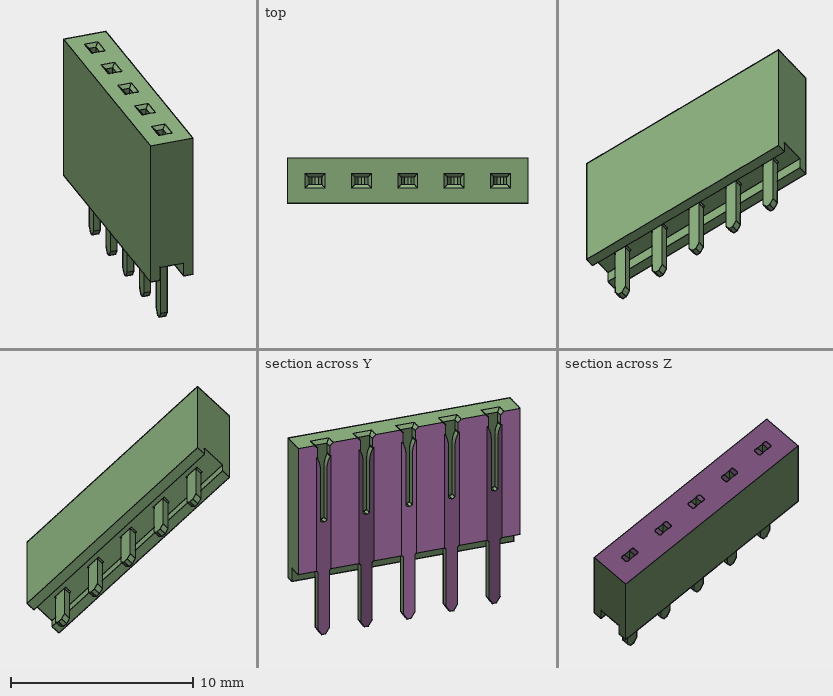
import cadquery as cq
import math

housing_length = 13.2
housing_depth = 2.5
total_height = 11.6
pin_drop = 3.1
housing_height = total_height - pin_drop
contact_count = 5
end_margin = 0.25
pitch = (housing_length - 2 * end_margin) / contact_count
contact_positions = [(i - (contact_count - 1) / 2) * pitch for i in range(contact_count)]

groove_width = 1.4
groove_height = 0.8

contact_thickness = 0.4
pin_width = 0.7
tip_width = 0.24
tip_height = 0.35
tip_shoulder = tip_height - pin_drop
flare = 0.08
flare_bottom = groove_height - flare
fork_width = pin_width + 2 * flare
entry_height = 0.79
fork_top = housing_height - entry_height
slot_width = 0.35
slot_depth = 3.96
slot_bottom = fork_top - slot_depth
lead_in_radius = 1.45
tine_tip_width = 0.04
lead_in_offset = (fork_width - slot_width) / 2 - tine_tip_width

floor_radius = 0.57
floor_center_slope = math.radians(15)

entry_width = pin_width
entry_depth = contact_thickness
entry_chamfer = 0.2


def box_above(length, depth, height, bottom, x=0.0):
    """Box centred on X = x and Y = 0 that stands on the height `bottom`."""
    box = cq.Workplane("XY").box(length, depth, height, centered=(True, True, False))
    return box.translate((x, 0, bottom))


def entry_hole(x):
    """Rectangular hole from the housing top to the fork, with a 45 degree funnel."""
    shaft = box_above(entry_width, entry_depth, entry_height, fork_top, x)
    funnel = (
        cq.Workplane("XY", origin=(x, 0, housing_height - entry_chamfer))
        .rect(entry_width, entry_depth)
        .workplane(offset=entry_chamfer)
        .rect(entry_width + 2 * entry_chamfer, entry_depth + 2 * entry_chamfer)
        .loft(ruled=True)
    )
    return shaft.union(funnel)


def fork_cavity(x):
    """Recess that holds the fork, open to the groove below."""
    return box_above(fork_width, contact_thickness, fork_top - groove_height, groove_height, x)


def make_housing():
    body = box_above(housing_length, housing_depth, housing_height, 0)
    body = body.cut(box_above(housing_length, groove_width, groove_height, 0))
    for x in contact_positions:
        body = body.cut(fork_cavity(x)).cut(entry_hole(x))
    return body


def lead_in_rise(offset):
    """Height above the throat where the lead-in arc is `offset` outward from the slot wall."""
    return math.sqrt(lead_in_radius**2 - (lead_in_radius - offset) ** 2)


def lead_in_point(offset):
    """Point on the right tine's lead-in arc, `offset` outward from the slot wall."""
    throat_height = fork_top - lead_in_rise(lead_in_offset)
    return slot_width / 2 + offset, throat_height + lead_in_rise(offset)


def floor_point(x):
    """Point on the right half of the slot floor."""
    start = floor_radius * math.sin(floor_center_slope)
    rise = floor_radius * math.cos(floor_center_slope) - math.sqrt(floor_radius**2 - (start + x) ** 2)
    return x, slot_bottom + rise


def mirrored(point):
    return -point[0], point[1]


def make_contact(x):
    """Flat contact with an outline in XZ, extruded through its thickness."""
    tine_tip = lead_in_point(lead_in_offset)
    lead_in_middle = lead_in_point(lead_in_offset / 2)
    throat = lead_in_point(0)
    floor_edge = floor_point(slot_width / 2)
    floor_middle = floor_point(slot_width / 4)
    floor_center = floor_point(0)
    outline = (
        cq.Workplane("XZ", origin=(x, 0, 0))
        .moveTo(tip_width / 2, -pin_drop)
        .lineTo(pin_width / 2, tip_shoulder)
        .lineTo(pin_width / 2, flare_bottom)
        .lineTo(fork_width / 2, groove_height)
        .lineTo(fork_width / 2, fork_top)
        .lineTo(*tine_tip)
        .threePointArc(lead_in_middle, throat)
        .lineTo(*floor_edge)
        .threePointArc(floor_middle, floor_center)
        .threePointArc(mirrored(floor_middle), mirrored(floor_edge))
        .lineTo(*mirrored(throat))
        .threePointArc(mirrored(lead_in_middle), mirrored(tine_tip))
        .lineTo(-fork_width / 2, fork_top)
        .lineTo(-fork_width / 2, groove_height)
        .lineTo(-pin_width / 2, flare_bottom)
        .lineTo(-pin_width / 2, tip_shoulder)
        .lineTo(-tip_width / 2, -pin_drop)
        .close()
    )
    return outline.extrude(contact_thickness / 2, both=True)


housing = make_housing()
contacts = [make_contact(x) for x in contact_positions]

result = cq.Compound.makeCompound([housing.val(), *[contact.val() for contact in contacts]])